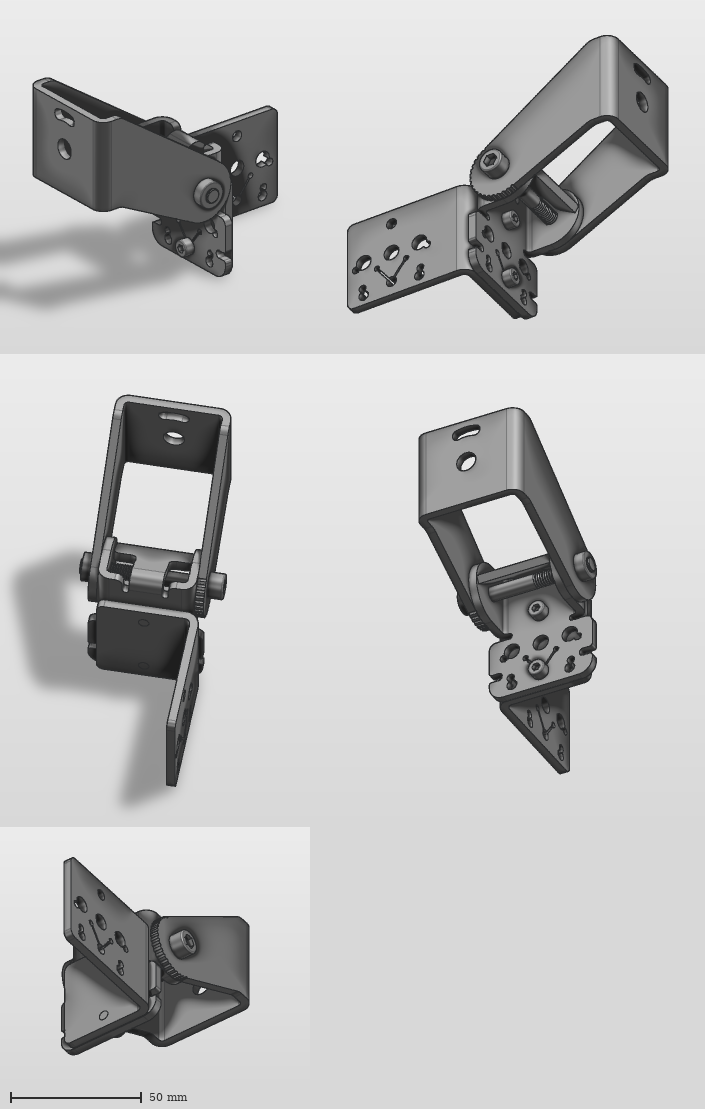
import cadquery as cq
import math


SHEET = 3.3
BEND_INNER = 1.7
BEND_OUTER = BEND_INNER + SHEET

EAR_RADIUS = 12.8
EAR_HALF_WIDTH = 19.1
HINGE_BACK_Y = 13.5
HINGE_FRONT_Y = HINGE_BACK_Y - SHEET
FLAP_HALF_WIDTH = 22.3
FLAP_BOTTOM_Z = -41.4
FLAP_TOP_RADIUS = 3.0
FLAP_BOTTOM_RADIUS = 6.0
RELIEF_WIDTH = 2.5
RELIEF_PAST_BEND = 1.7
FLAP_TOP_Z = -EAR_RADIUS - RELIEF_WIDTH
NOTCH_Z = -31.5
NOTCH_WIDTH = 3.2
NOTCH_TIP_X = 16.7
NOTCH_MOUTH_RADIUS = 1.1

TONGUE_HALF_WIDTH = 6.5
TONGUE_TOP_Z = 12.4
TONGUE_BEND_Y = HINGE_BACK_Y - BEND_OUTER
TONGUE_BEND_Z = TONGUE_TOP_Z - BEND_OUTER
TONGUE_SLOPE = 30.0
TONGUE_HEAD_HALF_WIDTH = 15.6
TONGUE_HEAD_DEPTH = 9.5
TONGUE_CORNER_RADIUS = 2.5
TONGUE_SHOULDER_RADIUS = 3.0

ARM_HALF_WIDTH = EAR_HALF_WIDTH + SHEET
ARM_RADIUS = 12.8
BRACKET_FRONT_Y = -51.0
BRACKET_TOP_Z = 44.5
BRACKET_BOTTOM_Z = 6.5
ARM_CORNER_Y = -41.2
ARM_CORNER_RADIUS = 6.2
TOOTH_PITCH_ANGLE = 10
TOOTH_FIRST_ANGLE = -120
TOOTH_LAST_ANGLE = 60
TOOTH_NOTCH_RADIUS = 0.54
CENTRE_HOLE_RADIUS = 8.2 / 2
ARC_SLOT_RADIUS = 14.0
ARC_SLOT_WIDTH = 4.5
ARC_SLOT_HALF_ANGLE = 15.3

SIDE_LEFT_X = -21.6
SIDE_RIGHT_X = 18.4
SIDE_HEIGHT = SIDE_RIGHT_X - SIDE_LEFT_X
SIDE_END_Y = 68.4
SIDE_BEND_INNER = 2.4
SIDE_CORNER_RADIUS = 2.9

FLAP_PATTERN_Z = -21.4
SIDE_PATTERN_Z = -21.0
SIDE_PATTERN_Y = 48.5
LARGE_HOLE_RADIUS = 6.6 / 2
LARGE_HOLE_SPACING = 12.5
TAIL_U = 16.0
TAIL_V = -2.3
TAIL_RADIUS = 1.5
SCREW_OFFSET = 13.7
SCREW_HEIGHTS = [FLAP_PATTERN_Z + SCREW_OFFSET, FLAP_PATTERN_Z - SCREW_OFFSET]
SCREW_HOLE_RADIUS = 4.4 / 2
VEE_U = 6.6
VEE_V = -5.1
VEE_END_RADIUS = 1.13
VEE_SLOT_WIDTH = 0.8
KEY_U = 12.5
KEY_V = -15.6
KEY_RADIUS = 4.2 / 2
KEY_NECK_U = 13.0
KEY_NECK_V = -12.2
KEY_NECK_RADIUS = 1.5
KEY_WAIST_WIDTH = 1.8

BOLT_RADIUS = 3.0
BOLT_HEAD_RADIUS = 5.0
BOLT_HEAD_LENGTH = 6.0
BOLT_HEX_FLATS = 5.0
BOLT_END_X = 27.5
BOLT_END_CHAMFER = 0.4
THREAD_START_X = 3.6
THREAD_PITCH = 1.0
THREAD_DEPTH = 0.42
NUT_RADIUS = 11.1 / 2
NUT_THICKNESS = 4.3
NUT_EDGE_RADIUS = 0.4
SCREW_RADIUS = 2.0
SCREW_HEAD_RADIUS = 3.5
SCREW_HEAD_LENGTH = 4.0
SCREW_HEX_FLATS = 3.0
HEAD_EDGE_SHARE = 0.12
SOCKET_SHARE = 0.5


def folded_channel(half_width, closed_y, open_y, bottom_z, top_z):
    """Sheet folded to a U in plan: two legs along Y joined by a plate at closed_y."""
    height = top_z - bottom_z
    inward = math.copysign(SHEET, open_y - closed_y)
    closed_side = ">Y" if inward < 0 else "<Y"

    def block(half_x, start_y, bend_radius):
        return (
            cq.Workplane("XY", origin=(0, (start_y + open_y) / 2, bottom_z))
            .rect(2 * half_x, abs(open_y - start_y)).extrude(height)
            .edges("|Z").edges(closed_side).fillet(bend_radius)
        )

    outside = block(half_width, closed_y, BEND_OUTER)
    inside = block(half_width - SHEET, closed_y + inward, BEND_INNER)
    return outside.cut(inside)


def cylinder_along_x(radius, start_x, end_x):
    return cq.Workplane("YZ", origin=(start_x, 0, 0)).circle(radius).extrude(end_x - start_x)


def link_slot(plane, start, end, width):
    """Straight-sided cutter of the given width from one point of the plane to another."""
    run = (end[0] - start[0], end[1] - start[1])
    return (
        cq.Workplane(plane)
        .center((start[0] + end[0]) / 2, (start[1] + end[1]) / 2)
        .transformed(rotate=(0, 0, math.degrees(math.atan2(run[1], run[0]))))
        .rect(math.hypot(*run), width).extrude(SHEET)
    )


def hole_pattern(plane):
    """Cutter one sheet deep; the plane's origin is the middle hole of the pattern."""
    def discs(points, radius):
        return cq.Workplane(plane).pushPoints(points).circle(radius).extrude(SHEET)

    lower_screw = (0, -SCREW_OFFSET)
    cutter = discs([(-LARGE_HOLE_SPACING, 0), (0, 0), (LARGE_HOLE_SPACING, 0)], LARGE_HOLE_RADIUS)
    cutter = cutter.union(discs([lower_screw, (0, SCREW_OFFSET)], SCREW_HOLE_RADIUS))
    for side in (-1, 1):
        tail = (side * TAIL_U, TAIL_V)
        vee_end = (side * VEE_U, VEE_V)
        key = (side * KEY_U, KEY_V)
        key_neck = (side * KEY_NECK_U, KEY_NECK_V)
        cutter = cutter.union(discs([tail], TAIL_RADIUS))
        cutter = cutter.union(discs([vee_end], VEE_END_RADIUS))
        cutter = cutter.union(link_slot(plane, lower_screw, vee_end, VEE_SLOT_WIDTH))
        cutter = cutter.union(discs([key], KEY_RADIUS))
        cutter = cutter.union(discs([key_neck], KEY_NECK_RADIUS))
        cutter = cutter.union(link_slot(plane, key, key_neck, KEY_WAIST_WIDTH))
    return cutter


def hinge_back_plane(z):
    """Plane on the back face of the hinge plate, its normal pointing forward through the sheet."""
    return cq.Plane(origin=(0, HINGE_BACK_Y, z), xDir=(1, 0, 0), normal=(0, -1, 0))


def hinge_slot(tip_x, mouth_x, z, width):
    """Level slot through the hinge sheet, with a round end at tip_x."""
    straight = link_slot(hinge_back_plane(z), (tip_x, 0), (mouth_x, 0), width)
    inset = math.copysign(width / 2, mouth_x - tip_x)
    round_end = cq.Workplane(hinge_back_plane(z)).center(tip_x + inset, 0).circle(width / 2).extrude(SHEET)
    nose = link_slot(hinge_back_plane(z), (tip_x, 0), (tip_x + inset, 0), width)
    return straight.cut(nose).union(round_end)


def make_ears():
    """Back plate with two full-round ears bent forward from it."""
    channel = folded_channel(EAR_HALF_WIDTH, HINGE_BACK_Y, -EAR_RADIUS, -EAR_RADIUS, EAR_RADIUS)
    ear_outline = (
        cq.Workplane("YZ", origin=(-EAR_HALF_WIDTH, 0, 0))
        .moveTo(0, EAR_RADIUS)
        .lineTo(HINGE_BACK_Y, EAR_RADIUS)
        .lineTo(HINGE_BACK_Y, -EAR_RADIUS)
        .lineTo(0, -EAR_RADIUS)
        .threePointArc((-EAR_RADIUS, 0), (0, EAR_RADIUS))
        .close().extrude(2 * EAR_HALF_WIDTH)
    )
    return channel.intersect(ear_outline)


def make_flap():
    """Lower mounting plate with side notches, joined to the ears by a narrower neck."""
    flap = (
        cq.Workplane(hinge_back_plane((FLAP_TOP_Z + FLAP_BOTTOM_Z) / 2))
        .rect(2 * FLAP_HALF_WIDTH, FLAP_TOP_Z - FLAP_BOTTOM_Z).extrude(SHEET)
        .edges("|Y and >Z").fillet(FLAP_TOP_RADIUS)
        .edges("|Y and <Z").fillet(FLAP_BOTTOM_RADIUS)
    )
    for side in (-1, 1):
        flap = flap.cut(hinge_slot(side * NOTCH_TIP_X, side * FLAP_HALF_WIDTH, NOTCH_Z, NOTCH_WIDTH))
    mouths = cq.selectors.BoxSelector(
        (-FLAP_HALF_WIDTH - 1.2, HINGE_FRONT_Y, NOTCH_Z - NOTCH_WIDTH),
        (FLAP_HALF_WIDTH + 1.2, HINGE_BACK_Y, NOTCH_Z + NOTCH_WIDTH),
    )
    flap = flap.edges("|Y").edges("<X or >X").edges(mouths).fillet(NOTCH_MOUTH_RADIUS)

    bend_line_x = EAR_HALF_WIDTH - BEND_OUTER
    neck_z = FLAP_TOP_Z + RELIEF_WIDTH / 2
    neck = cq.Workplane(hinge_back_plane(neck_z)).rect(2 * bend_line_x, RELIEF_WIDTH).extrude(SHEET)
    for side in (-1, 1):
        tip_x = side * (bend_line_x - RELIEF_PAST_BEND)
        neck = neck.cut(hinge_slot(tip_x, side * EAR_HALF_WIDTH, neck_z, RELIEF_WIDTH))
    return flap.union(neck)


def tongue_opening():
    """Cutter for the back plate's top edge: the tongue's strip and a relief slot on each side."""
    wall_x = TONGUE_HALF_WIDTH + RELIEF_WIDTH
    slot_x = TONGUE_HALF_WIDTH + RELIEF_WIDTH / 2
    slot_floor_z = TONGUE_BEND_Z - RELIEF_PAST_BEND + RELIEF_WIDTH / 2
    shoulder_x = wall_x + TONGUE_SHOULDER_RADIUS
    shoulder_z = EAR_RADIUS - TONGUE_SHOULDER_RADIUS
    arc_reach = TONGUE_SHOULDER_RADIUS * (1 - math.sqrt(0.5))
    cutter = (
        cq.Workplane(hinge_back_plane(0))
        .moveTo(-shoulder_x, EAR_RADIUS)
        .threePointArc((-wall_x - arc_reach, EAR_RADIUS - arc_reach), (-wall_x, shoulder_z))
        .lineTo(-wall_x, TONGUE_BEND_Z)
        .lineTo(wall_x, TONGUE_BEND_Z)
        .lineTo(wall_x, shoulder_z)
        .threePointArc((wall_x + arc_reach, EAR_RADIUS - arc_reach), (shoulder_x, EAR_RADIUS))
        .close().extrude(SHEET)
    )
    for side in (-1, 1):
        slot = (
            cq.Workplane(hinge_back_plane(0))
            .moveTo(side * TONGUE_HALF_WIDTH, TONGUE_BEND_Z)
            .lineTo(side * TONGUE_HALF_WIDTH, slot_floor_z)
            .threePointArc((side * slot_x, slot_floor_z - RELIEF_WIDTH / 2), (side * wall_x, slot_floor_z))
            .lineTo(side * wall_x, TONGUE_BEND_Z)
            .close().extrude(SHEET)
        )
        cutter = cutter.union(slot)
    return cutter


def make_tongue():
    """Bend over the top of the back plate, then a sloping T that ends level with the ear fronts."""
    turn = 90 + TONGUE_SLOPE

    def on_bend(radius, angle):
        angle = math.radians(angle)
        return (TONGUE_BEND_Y + radius * math.cos(angle), TONGUE_BEND_Z + radius * math.sin(angle))

    bend = (
        cq.Workplane("YZ", origin=(-TONGUE_HALF_WIDTH, 0, 0))
        .moveTo(*on_bend(BEND_OUTER, 0))
        .threePointArc(on_bend(BEND_OUTER, turn / 2), on_bend(BEND_OUTER, turn))
        .lineTo(*on_bend(BEND_INNER, turn))
        .threePointArc(on_bend(BEND_INNER, turn / 2), on_bend(BEND_INNER, 0))
        .close().extrude(2 * TONGUE_HALF_WIDTH)
    )

    slope = math.radians(TONGUE_SLOPE)
    start_y, start_z = on_bend(BEND_OUTER, turn)
    length = (start_y + EAR_RADIUS) / math.cos(slope)
    head_v = TONGUE_HEAD_DEPTH - length
    top_face = cq.Plane(
        origin=(0, start_y, start_z), xDir=(1, 0, 0), normal=(0, -math.sin(slope), math.cos(slope))
    )
    blade = (
        cq.Workplane(top_face)
        .moveTo(-TONGUE_HALF_WIDTH, 0)
        .lineTo(-TONGUE_HALF_WIDTH, head_v)
        .lineTo(-TONGUE_HEAD_HALF_WIDTH, head_v)
        .lineTo(-TONGUE_HEAD_HALF_WIDTH, -length)
        .lineTo(TONGUE_HEAD_HALF_WIDTH, -length)
        .lineTo(TONGUE_HEAD_HALF_WIDTH, head_v)
        .lineTo(TONGUE_HALF_WIDTH, head_v)
        .lineTo(TONGUE_HALF_WIDTH, 0)
        .close().extrude(-SHEET)
    )
    for x in (TONGUE_HALF_WIDTH, TONGUE_HEAD_HALF_WIDTH):
        for side in (-1, 1):
            corner = top_face.toWorldCoords((side * x, head_v, -SHEET / 2)).toTuple()
            blade = blade.edges(cq.selectors.NearestToPointSelector(corner)).fillet(TONGUE_CORNER_RADIUS)
    return bend.union(blade)


def make_hinge_plate():
    plate = make_ears().cut(tongue_opening()).union(make_tongue()).union(make_flap())
    plate = plate.cut(hole_pattern(hinge_back_plane(FLAP_PATTERN_Z)))
    return plate.cut(cylinder_along_x(BOLT_RADIUS, -EAR_HALF_WIDTH, EAR_HALF_WIDTH))


def tangent_point(corner_y, corner_z, turn):
    """Where the line from a corner touches the arm's round end; turn is +1 for the upper edge."""
    distance = math.hypot(corner_y, corner_z)
    angle = math.atan2(corner_z, corner_y) - turn * math.acos(ARM_RADIUS / distance)
    return (ARM_RADIUS * math.cos(angle), ARM_RADIUS * math.sin(angle))


def arm_profile():
    """Side outline of the swing bracket, as wide as the bracket."""
    solid = (
        cq.Workplane("YZ", origin=(-ARM_HALF_WIDTH, 0, 0))
        .moveTo(*tangent_point(ARM_CORNER_Y, BRACKET_TOP_Z, 1))
        .lineTo(ARM_CORNER_Y, BRACKET_TOP_Z)
        .lineTo(BRACKET_FRONT_Y, BRACKET_TOP_Z)
        .lineTo(BRACKET_FRONT_Y, BRACKET_BOTTOM_Z)
        .lineTo(ARM_CORNER_Y, BRACKET_BOTTOM_Z)
        .lineTo(*tangent_point(ARM_CORNER_Y, BRACKET_BOTTOM_Z, -1))
        .threePointArc((ARM_RADIUS, 0), tangent_point(ARM_CORNER_Y, BRACKET_TOP_Z, 1))
        .close().extrude(2 * ARM_HALF_WIDTH)
    )
    for z in (BRACKET_TOP_Z, BRACKET_BOTTOM_Z):
        corner = cq.selectors.NearestToPointSelector((0, ARM_CORNER_Y, z))
        solid = solid.edges("|X").edges(corner).fillet(ARM_CORNER_RADIUS)
    return solid


def arm_teeth():
    """Cutter for the notches around the round end of the -X arm."""
    angles = range(TOOTH_FIRST_ANGLE, TOOTH_LAST_ANGLE + 1, TOOTH_PITCH_ANGLE)
    points = [
        (ARM_RADIUS * math.cos(math.radians(a)), ARM_RADIUS * math.sin(math.radians(a))) for a in angles
    ]
    return (
        cq.Workplane("YZ", origin=(-ARM_HALF_WIDTH, 0, 0))
        .pushPoints(points).circle(TOOTH_NOTCH_RADIUS).extrude(SHEET)
    )


def front_plate_openings():
    """Cutter for the round hole and the arc slot centred on it."""
    hole_z = (BRACKET_TOP_Z + BRACKET_BOTTOM_Z) / 2
    plane = cq.Plane(origin=(0, BRACKET_FRONT_Y, hole_z), xDir=(1, 0, 0), normal=(0, -1, 0))
    inner_radius = ARC_SLOT_RADIUS - ARC_SLOT_WIDTH / 2
    outer_radius = ARC_SLOT_RADIUS + ARC_SLOT_WIDTH / 2

    def on_arc(radius, side):
        angle = math.radians(side * ARC_SLOT_HALF_ANGLE)
        return (radius * math.sin(angle), radius * math.cos(angle))

    hole = cq.Workplane(plane).circle(CENTRE_HOLE_RADIUS).extrude(-SHEET)
    band = (
        cq.Workplane(plane)
        .moveTo(*on_arc(outer_radius, -1))
        .threePointArc((0, outer_radius), on_arc(outer_radius, 1))
        .lineTo(*on_arc(inner_radius, 1))
        .threePointArc((0, inner_radius), on_arc(inner_radius, -1))
        .close().extrude(-SHEET)
    )
    ends = (
        cq.Workplane(plane)
        .pushPoints([on_arc(ARC_SLOT_RADIUS, -1), on_arc(ARC_SLOT_RADIUS, 1)])
        .circle(ARC_SLOT_WIDTH / 2).extrude(-SHEET)
    )
    return hole.union(band).union(ends)


def make_swing_bracket():
    channel = folded_channel(ARM_HALF_WIDTH, BRACKET_FRONT_Y, ARM_RADIUS, -ARM_RADIUS, BRACKET_TOP_Z)
    bracket = channel.intersect(arm_profile()).cut(arm_teeth()).cut(front_plate_openings())
    return bracket.cut(cylinder_along_x(BOLT_RADIUS, -ARM_HALF_WIDTH, ARM_HALF_WIDTH))


def make_side_plate():
    """L-shaped plate: one leg against the hinge plate, the other reaching back along Y."""
    bottom_z = SIDE_PATTERN_Z - SIDE_HEIGHT / 2
    plate = (
        cq.Workplane("XY", origin=(0, 0, bottom_z))
        .moveTo(SIDE_LEFT_X, HINGE_BACK_Y)
        .lineTo(SIDE_RIGHT_X, HINGE_BACK_Y)
        .lineTo(SIDE_RIGHT_X, HINGE_BACK_Y + SHEET)
        .lineTo(SIDE_LEFT_X + SHEET, HINGE_BACK_Y + SHEET)
        .lineTo(SIDE_LEFT_X + SHEET, SIDE_END_Y)
        .lineTo(SIDE_LEFT_X, SIDE_END_Y)
        .close().extrude(SIDE_HEIGHT)
    )
    inner_corner = (SIDE_LEFT_X + SHEET, HINGE_BACK_Y + SHEET, SIDE_PATTERN_Z)
    outer_corner = (SIDE_LEFT_X, HINGE_BACK_Y, SIDE_PATTERN_Z)
    for corner, radius in ((inner_corner, SIDE_BEND_INNER), (outer_corner, SIDE_BEND_INNER + SHEET)):
        plate = plate.edges("|Z").edges(cq.selectors.NearestToPointSelector(corner)).fillet(radius)
    plate = plate.edges("|Y and >X").fillet(SIDE_CORNER_RADIUS)
    plate = plate.edges("|X and >Y").fillet(SIDE_CORNER_RADIUS)

    outer_face = cq.Plane(
        origin=(SIDE_LEFT_X, SIDE_PATTERN_Y, SIDE_PATTERN_Z), xDir=(0, 1, 0), normal=(1, 0, 0)
    )
    plate = plate.cut(hole_pattern(outer_face))
    for z in SCREW_HEIGHTS:
        plate = plate.cut(cq.Workplane(hinge_back_plane(z)).circle(SCREW_RADIUS).extrude(-SHEET))
    return plate


def socket_cap_head(plane, radius, length, hex_flats):
    """Round head rising from the plane along its normal, with a hexagon socket in the top."""
    corner_diameter = hex_flats / math.cos(math.radians(30))
    socket_depth = SOCKET_SHARE * length
    head = cq.Workplane(plane).circle(radius).extrude(length)
    head = head.faces(cq.selectors.DirectionMinMaxSelector(plane.zDir)).edges()
    head = head.fillet(HEAD_EDGE_SHARE * radius)
    socket = (
        cq.Workplane(plane).workplane(offset=length - socket_depth)
        .polygon(6, corner_diameter).extrude(socket_depth)
    )
    return head.cut(socket)


def make_bolt():
    """Socket cap bolt along X; its thread is a row of V grooves up to the chamfered end."""
    under_head = cq.Plane(origin=(-ARM_HALF_WIDTH, 0, 0), xDir=(0, 1, 0), normal=(-1, 0, 0))
    head = socket_cap_head(under_head, BOLT_HEAD_RADIUS, BOLT_HEAD_LENGTH, BOLT_HEX_FLATS)
    half_profile = (
        cq.Workplane("XY").moveTo(-ARM_HALF_WIDTH, 0)
        .lineTo(-ARM_HALF_WIDTH, BOLT_RADIUS)
        .lineTo(THREAD_START_X, BOLT_RADIUS)
    )
    groove_count = int((BOLT_END_X - BOLT_END_CHAMFER - THREAD_START_X) / THREAD_PITCH)
    for i in range(groove_count):
        groove_x = THREAD_START_X + i * THREAD_PITCH
        half_profile = (
            half_profile.lineTo(groove_x + THREAD_PITCH / 2, BOLT_RADIUS - THREAD_DEPTH)
            .lineTo(groove_x + THREAD_PITCH, BOLT_RADIUS)
        )
    shank = (
        half_profile.lineTo(BOLT_END_X - BOLT_END_CHAMFER, BOLT_RADIUS)
        .lineTo(BOLT_END_X, BOLT_RADIUS - BOLT_END_CHAMFER)
        .lineTo(BOLT_END_X, 0)
        .close().revolve(360, (0, 0, 0), (1, 0, 0))
    )
    return head.union(shank)


def make_nut():
    """Round nut against the +X arm."""
    nut = cylinder_along_x(NUT_RADIUS, ARM_HALF_WIDTH, ARM_HALF_WIDTH + NUT_THICKNESS)
    nut = nut.faces(">X").edges().fillet(NUT_EDGE_RADIUS)
    return nut.cut(cylinder_along_x(BOLT_RADIUS, ARM_HALF_WIDTH, BOLT_END_X))


def make_screw(z):
    """Socket cap screw through the hinge plate, ending flush with the back of the side plate."""
    seat = cq.Plane(origin=(0, HINGE_FRONT_Y, z), xDir=(1, 0, 0), normal=(0, -1, 0))
    head = socket_cap_head(seat, SCREW_HEAD_RADIUS, SCREW_HEAD_LENGTH, SCREW_HEX_FLATS)
    shank = cq.Workplane(seat).circle(SCREW_RADIUS).extrude(-2 * SHEET)
    return head.union(shank)


hinge_plate = make_hinge_plate()
swing_bracket = make_swing_bracket()
side_plate = make_side_plate()
bolt = make_bolt()
nut = make_nut()
screws = [make_screw(z) for z in SCREW_HEIGHTS]

result = cq.Compound.makeCompound([
    hinge_plate.val(),
    swing_bracket.val(),
    side_plate.val(),
    bolt.val(),
    nut.val(),
    *[screw.val() for screw in screws],
])